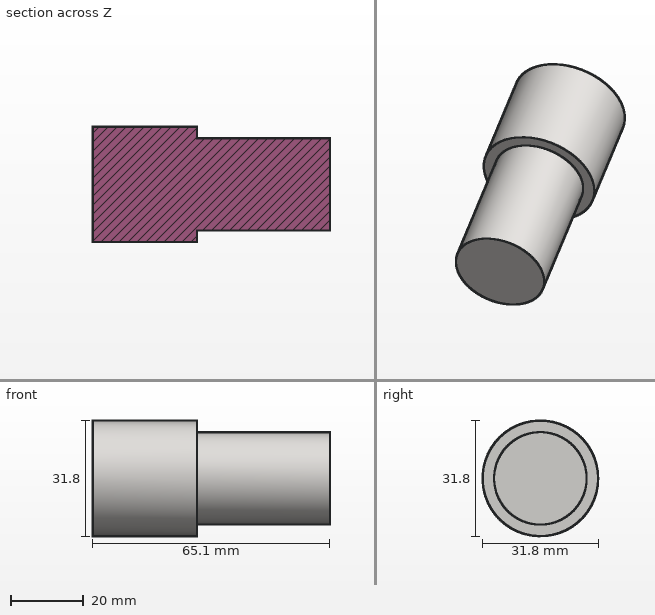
import cadquery as cq

total_length = 65.1
head_length = 28.65
head_diameter = 31.75
shank_diameter = 25.4

shank_length = total_length - head_length

head = (
    cq.Workplane("YZ", origin=(-total_length / 2, 0, 0))
    .circle(head_diameter / 2)
    .extrude(head_length)
)

result = head.faces(">X").workplane().circle(shank_diameter / 2).extrude(shank_length)